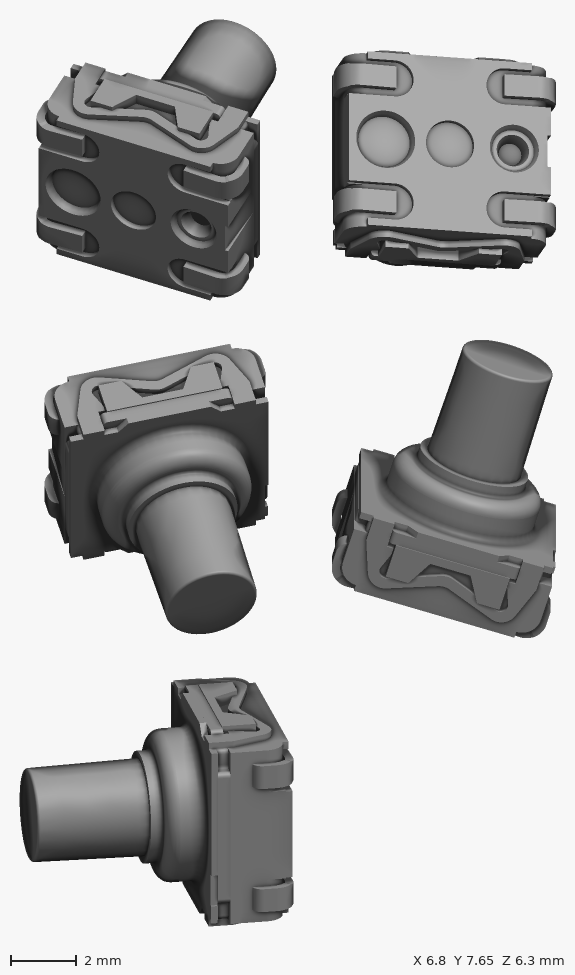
import cadquery as cq
import math


FLANGE_BOTTOM = 1.92
PLATE_BOTTOM = 2.3
PLATE_TOP = 2.51
DOME_TOP = 3.72
NECK_TOP = 4.1
PLUNGER_TIP = 7.56

HOUSING_HALF_X = 3.15
HOUSING_HALF_Z = 2.785
POCKET_DEPTH = 0.2
POCKET_INNER_Z = 1.4
POCKET_OUTER_Z = 2.555
POCKET_RADIUS = (POCKET_OUTER_Z - POCKET_INNER_Z) / 2
POCKET_ARC_CENTER_X = 1.71
CORNER_RADIUS = 0.6
CORNER_INNER_Z = 1.43
DRAFT_NOTCH_DEPTH = 0.11
DRAFT_NOTCH_HALF_Z = 0.505

FLANGE_HALF_X = 3.13
FLANGE_STEP_X = 2.785
FLANGE_STEP_Z = 2.13
FLANGE_RADIUS = 0.15
TONGUE_HALF_X = 2.03
TONGUE_HALF_Z = 3.105
TONGUE_RADIUS = 0.14

CATCH_HALF_X = 1.81
CATCH_HALF_Z = 3.15
CATCH_BOTTOM = 0.865
CATCH_NOTCH_TOP = 1.66
CATCH_NOTCH_TOP_HALF_X = 0.64
CATCH_NOTCH_BOTTOM_HALF_X = 1.095

SIDE_HOLE_X = 2.005
CENTER_HOLE_DIAMETER = 1.5
CENTER_HOLE_DEPTH = 0.2
WIDE_HOLE_MOUTH_RADIUS = 0.92
WIDE_HOLE_FLOOR_RADIUS = 0.8
WIDE_HOLE_DEPTH = 0.25
STEP_HOLE_MOUTH_RADIUS = 0.765
STEP_HOLE_SHELF_RADIUS = 0.65
STEP_HOLE_SHELF_DEPTH = 0.2
STEP_HOLE_BORE_RADIUS = 0.505
STEP_HOLE_FLOOR_RADIUS = 0.35
STEP_HOLE_BORE_DEPTH = 0.4

PLATE_HALF_X = 3.105
PLATE_TAB_RAMP_INNER_X = 1.29
KEY_RELIEF_DEPTH = 0.11
KEY_RELIEF_Z = -1.19
KEY_TAB_X = 3.08
KEY_TAB_TOP_Z = -2.195
KEY_TAB_BOTTOM_Z = -2.655
DOME_DIAMETER = 4.7
DOME_TOP_RADIUS = 0.41
DOME_FOOT_RADIUS = 0.21
NECK_DIAMETER = 3.44
NECK_FOOT_RADIUS = 0.09

CLIP_THICKNESS = 0.21
CLIP_ANGLE = 20
CLIP_ANGLE_TAN = math.tan(math.radians(CLIP_ANGLE))
CLIP_OUTER_X = 2.71
CLIP_INNER_X = 2.04
CLIP_SHOULDER_Y = 1.745
CLIP_TOOTH_X = 1.835
CLIP_TOOTH_BOTTOM = 1.57
CLIP_OUTER_APEX_Y = 1.05
CLIP_INNER_APEX_Y = 1.39
CLIP_BEND_RADIUS = 0.53
CLIP_WINDOW_RADIUS = 0.22

PLUNGER_BASE_DIAMETER = 3.05
PLUNGER_DRAFT = 1
PLUNGER_DRAFT_TAN = math.tan(math.radians(PLUNGER_DRAFT))
PLUNGER_TIP_FILLET = 0.085

TERMINAL_Z = 2.005
TERMINAL_THICKNESS = 0.25
ARM_WIDTH = 0.74
FOOT_WIDTH = 0.69
ROOT_WIDTH = 1.02
BEND_OUTER_RADIUS = 0.64
BEND_INNER_RADIUS = BEND_OUTER_RADIUS - TERMINAL_THICKNESS
STANDOFF = 0.09
BEND_CENTER_X = -HOUSING_HALF_X + BEND_INNER_RADIUS
BEND_CENTER_Y = BEND_OUTER_RADIUS - STANDOFF
TAPER_START_ANGLE = 231
TAPER_END_ANGLE = 241
WEDGE_MARGIN = 0.08
FOOT_TILT = 2.3
FOOT_TIP_X = -1.68
JOG_RADIUS = 0.32
JOG_CENTER_X = -HOUSING_HALF_X - TERMINAL_THICKNESS + JOG_RADIUS
JOG_CENTER_Y = 0.93
JOG_START_TURN = math.acos((-HOUSING_HALF_X - JOG_CENTER_X) / JOG_RADIUS)


def slab(points, bottom, top):
    """Prism of an XZ outline between two Y levels."""
    return cq.Workplane("XZ", origin=(0, top, 0)).polyline(points).close().extrude(top - bottom)


def box(x_range, y_range, z_range):
    """Axis-aligned box from its limits."""
    sizes = [high - low for low, high in (x_range, y_range, z_range)]
    corner = (x_range[0], y_range[0], z_range[0])
    return cq.Workplane("XY").box(*sizes, centered=False).translate(corner)


def four_corners(body):
    """Copies of a body from the -X, +Z corner, mirrored into all four corners."""
    pair = [body, body.mirror("YZ")]
    return pair + [one.mirror("XY") for one in pair]


def both_z_sides(body):
    """A body from the +Z side and its mirror image on the -Z side."""
    return [body, body.mirror("XY")]


def bend_point(radius, angle):
    """Point on the terminal bend at an angle in degrees."""
    turn = math.radians(angle)
    return (BEND_CENTER_X + radius * math.cos(turn), BEND_CENTER_Y + radius * math.sin(turn))


def strip(outline, width):
    """Extrude an XY outline along Z, centred on the terminal."""
    return outline.close().extrude(width / 2, both=True).translate((0, 0, TERMINAL_Z))


def jog_point(turn):
    """Point on the round jog where the arm leaves the side wall, at an angle in radians."""
    return (JOG_CENTER_X + JOG_RADIUS * math.cos(turn), JOG_CENTER_Y + JOG_RADIUS * math.sin(turn))


def bend_arc(outline, radius, start_angle, end_angle):
    """Continue an outline along the terminal bend."""
    middle = bend_point(radius, (start_angle + end_angle) / 2)
    return outline.threePointArc(middle, bend_point(radius, end_angle))


def terminal_arm():
    """Arm that bulges out of the side wall, runs down and turns into the bend."""
    jog_middle = (JOG_START_TURN + math.pi) / 2
    outline = (
        cq.Workplane("XY")
        .moveTo(*jog_point(JOG_START_TURN))
        .threePointArc(jog_point(jog_middle), jog_point(math.pi))
        .lineTo(*bend_point(BEND_OUTER_RADIUS, 180))
    )
    outline = bend_arc(outline, BEND_OUTER_RADIUS, 180, TAPER_START_ANGLE)
    outline = outline.lineTo(*bend_point(BEND_INNER_RADIUS, TAPER_START_ANGLE))
    outline = bend_arc(outline, BEND_INNER_RADIUS, TAPER_START_ANGLE, 180)
    return strip(outline, ARM_WIDTH)


def terminal_taper():
    """Short stretch of the bend that narrows from the arm width to the foot width."""
    outline = cq.Workplane("XY").moveTo(*bend_point(BEND_OUTER_RADIUS, TAPER_START_ANGLE))
    outline = bend_arc(outline, BEND_OUTER_RADIUS, TAPER_START_ANGLE, TAPER_END_ANGLE)
    outline = outline.lineTo(*bend_point(BEND_INNER_RADIUS, TAPER_END_ANGLE))
    outline = bend_arc(outline, BEND_INNER_RADIUS, TAPER_END_ANGLE, TAPER_START_ANGLE)
    bend = strip(outline, ARM_WIDTH)

    sections = []
    for angle, width in ((TAPER_START_ANGLE, ARM_WIDTH), (TAPER_END_ANGLE, FOOT_WIDTH)):
        inner = bend_point(BEND_INNER_RADIUS - WEDGE_MARGIN, angle)
        outer = bend_point(BEND_OUTER_RADIUS + WEDGE_MARGIN, angle)
        low_z = TERMINAL_Z - width / 2
        high_z = TERMINAL_Z + width / 2
        corners = [(*inner, low_z), (*outer, low_z), (*outer, high_z), (*inner, high_z)]
        sections.append(cq.Wire.makePolygon([cq.Vector(*corner) for corner in corners], close=True))
    return bend.intersect(cq.Workplane(cq.Solid.makeLoft(sections, True)))


def terminal_foot():
    """End of the bend and the slightly rising flat foot."""
    end_angle = 270 + FOOT_TILT
    rise = math.tan(math.radians(FOOT_TILT))
    outer_end = bend_point(BEND_OUTER_RADIUS, end_angle)
    inner_end = bend_point(BEND_INNER_RADIUS, end_angle)
    outline = cq.Workplane("XY").moveTo(*bend_point(BEND_OUTER_RADIUS, TAPER_END_ANGLE))
    outline = (
        bend_arc(outline, BEND_OUTER_RADIUS, TAPER_END_ANGLE, end_angle)
        .lineTo(FOOT_TIP_X, outer_end[1] + (FOOT_TIP_X - outer_end[0]) * rise)
        .lineTo(FOOT_TIP_X, inner_end[1] + (FOOT_TIP_X - inner_end[0]) * rise)
        .lineTo(*inner_end)
    )
    outline = bend_arc(outline, BEND_INNER_RADIUS, end_angle, TAPER_END_ANGLE)
    return strip(outline, FOOT_WIDTH)


def terminal_root():
    """Plate flush in the side wall, widening towards the flange."""
    arm_top = jog_point(JOG_START_TURN)[1]
    upper_half = [(JOG_CENTER_Y, ARM_WIDTH / 2), (arm_top, ARM_WIDTH / 2), (FLANGE_BOTTOM, ROOT_WIDTH / 2)]
    outline = upper_half + [(y, -z) for y, z in reversed(upper_half)]
    return (
        cq.Workplane("YZ", origin=(-HOUSING_HALF_X, 0, TERMINAL_Z))
        .polyline(outline)
        .close()
        .extrude(TERMINAL_THICKNESS)
    )


def make_terminal():
    """Terminal at the -X, +Z corner."""
    return terminal_root().union(terminal_arm()).union(terminal_taper()).union(terminal_foot())


def make_flange():
    quarter = [
        (FLANGE_HALF_X, FLANGE_STEP_Z),
        (FLANGE_STEP_X, FLANGE_STEP_Z),
        (FLANGE_STEP_X, HOUSING_HALF_Z),
    ]
    upper = quarter + [(-x, z) for x, z in reversed(quarter)]
    outline = upper + [(x, -z) for x, z in reversed(upper)]
    flange = slab(outline, FLANGE_BOTTOM, PLATE_BOTTOM).edges("|Y").fillet(FLANGE_RADIUS)
    tongues = box(
        (-TONGUE_HALF_X, TONGUE_HALF_X), (FLANGE_BOTTOM, PLATE_BOTTOM), (-TONGUE_HALF_Z, TONGUE_HALF_Z)
    )
    return flange.union(tongues.edges("|Y").fillet(TONGUE_RADIUS))


def make_catch():
    """Block on the +Z wall with a trapezoid notch in its lower edge; it overhangs the clip bar."""
    right_half = [
        (CATCH_NOTCH_TOP_HALF_X, CATCH_NOTCH_TOP),
        (CATCH_NOTCH_BOTTOM_HALF_X, CATCH_BOTTOM),
        (CATCH_HALF_X, CATCH_BOTTOM),
        (CATCH_HALF_X, FLANGE_BOTTOM),
    ]
    outline = right_half + [(-x, y) for x, y in reversed(right_half)]
    return (
        cq.Workplane("XY", origin=(0, 0, HOUSING_HALF_Z))
        .polyline(outline)
        .close()
        .extrude(CATCH_HALF_Z - HOUSING_HALF_Z)
    )


def foot_pocket():
    """Round-ended recess for the terminal foot at the -X, +Z corner."""
    center_z = (POCKET_INNER_Z + POCKET_OUTER_Z) / 2
    straight = box(
        (-HOUSING_HALF_X, -POCKET_ARC_CENTER_X), (0, POCKET_DEPTH), (POCKET_INNER_Z, POCKET_OUTER_Z)
    )
    arc_center = (-POCKET_ARC_CENTER_X, 0, center_z)
    round_end = cq.Workplane("XZ", origin=arc_center).circle(POCKET_RADIUS).extrude(-POCKET_DEPTH)
    return straight.union(round_end)


def corner_relief():
    """Material removed outside the rounded corner column at the -X, +Z corner."""
    inner_x = -HOUSING_HALF_X + CORNER_RADIUS
    center_y = POCKET_DEPTH + CORNER_RADIUS
    diagonal = CORNER_RADIUS * math.sqrt(0.5)
    return (
        cq.Workplane("XY", origin=(0, 0, CORNER_INNER_Z))
        .moveTo(-HOUSING_HALF_X, 0)
        .lineTo(inner_x, 0)
        .lineTo(inner_x, POCKET_DEPTH)
        .threePointArc((inner_x - diagonal, center_y - diagonal), (-HOUSING_HALF_X, center_y))
        .close()
        .extrude(HOUSING_HALF_Z - CORNER_INNER_Z)
    )


def face_hole(x, profile):
    """Blind hole in the mounting face, turned from (radius, depth) points."""
    return (
        cq.Workplane("XY")
        .polyline([(0, 0)] + profile + [(0, profile[-1][1])])
        .close()
        .revolve(360, (0, 0, 0), (0, 1, 0))
        .translate((x, 0, 0))
    )


def draft_notch():
    """Wedge cut into the +X wall, deepest at the mounting face."""
    return (
        cq.Workplane("XY")
        .polyline([
            (HOUSING_HALF_X, 0),
            (HOUSING_HALF_X - DRAFT_NOTCH_DEPTH, 0),
            (HOUSING_HALF_X, FLANGE_BOTTOM),
        ])
        .close()
        .extrude(DRAFT_NOTCH_HALF_Z, both=True)
    )


def make_housing(terminals, clip):
    housing = box(
        (-HOUSING_HALF_X, HOUSING_HALF_X), (0, FLANGE_BOTTOM), (-HOUSING_HALF_Z, HOUSING_HALF_Z)
    )
    for cutter in four_corners(foot_pocket()) + four_corners(corner_relief()):
        housing = housing.cut(cutter)
    housing = housing.union(make_flange())
    for catch in both_z_sides(make_catch().cut(clip)):
        housing = housing.union(catch)
    center_radius = CENTER_HOLE_DIAMETER / 2
    bore_floor = STEP_HOLE_SHELF_DEPTH + STEP_HOLE_BORE_DEPTH
    holes = [
        face_hole(0, [(center_radius, 0), (center_radius, CENTER_HOLE_DEPTH)]),
        face_hole(-SIDE_HOLE_X, [(WIDE_HOLE_MOUTH_RADIUS, 0), (WIDE_HOLE_FLOOR_RADIUS, WIDE_HOLE_DEPTH)]),
        face_hole(SIDE_HOLE_X, [
            (STEP_HOLE_MOUTH_RADIUS, 0),
            (STEP_HOLE_SHELF_RADIUS, STEP_HOLE_SHELF_DEPTH),
            (STEP_HOLE_BORE_RADIUS, STEP_HOLE_SHELF_DEPTH),
            (STEP_HOLE_FLOOR_RADIUS, bore_floor),
        ]),
    ]
    for cutter in holes + [draft_notch()] + terminals:
        housing = housing.cut(cutter)
    return housing


def make_plunger():
    base_radius = PLUNGER_BASE_DIAMETER / 2
    tip_radius = base_radius - (PLUNGER_TIP - PLATE_BOTTOM) * PLUNGER_DRAFT_TAN
    return (
        cq.Workplane("XY")
        .moveTo(0, PLATE_BOTTOM)
        .lineTo(base_radius, PLATE_BOTTOM)
        .lineTo(tip_radius, PLUNGER_TIP)
        .lineTo(0, PLUNGER_TIP)
        .close()
        .revolve(360, (0, 0, 0), (0, 1, 0))
        .faces(">Y")
        .edges()
        .fillet(PLUNGER_TIP_FILLET)
    )


def make_plate():
    """Flat plate with a ramped tab on each Z side and a keyed -X edge."""
    ramp_outer_x = PLATE_TAB_RAMP_INNER_X + TONGUE_HALF_Z - HOUSING_HALF_Z
    tab = [(ramp_outer_x, HOUSING_HALF_Z), (PLATE_TAB_RAMP_INNER_X, TONGUE_HALF_Z)]
    upper = [(PLATE_HALF_X, HOUSING_HALF_Z)] + tab + [(-x, z) for x, z in reversed(tab)]
    upper.append((-PLATE_HALF_X, HOUSING_HALF_Z))
    relief_x = -PLATE_HALF_X + KEY_RELIEF_DEPTH
    keyed_edge = [
        (-PLATE_HALF_X, KEY_RELIEF_Z),
        (relief_x, KEY_RELIEF_Z),
        (relief_x, KEY_TAB_TOP_Z),
        (-KEY_TAB_X, KEY_TAB_TOP_Z),
        (-KEY_TAB_X, KEY_TAB_BOTTOM_Z),
        (relief_x, KEY_TAB_BOTTOM_Z),
        (relief_x, -HOUSING_HALF_Z),
    ]
    lower = [(-x, -z) for x, z in tab]
    lower += [(-x, z) for x, z in reversed(lower)]
    outline = upper + keyed_edge + lower + [(PLATE_HALF_X, -HOUSING_HALF_Z)]
    return slab(outline, PLATE_BOTTOM, PLATE_TOP)


def round_post(radius, bottom, top):
    """Cylinder about the Y axis between two levels."""
    return cq.Workplane("XZ", origin=(0, top, 0)).circle(radius).extrude(top - bottom)


def foot_ring(wall_radius, fillet_radius, level):
    """Ring with a concave quarter-round profile at the foot of a round wall."""
    center_r = wall_radius + fillet_radius
    center_y = level + fillet_radius
    diagonal = fillet_radius * math.sqrt(0.5)
    return (
        cq.Workplane("XY")
        .moveTo(wall_radius, level)
        .lineTo(center_r, level)
        .threePointArc((center_r - diagonal, center_y - diagonal), (wall_radius, center_y))
        .close()
        .revolve(360, (0, 0, 0), (0, 1, 0))
    )


def make_dome():
    """Solid dome with a neck, blended into the plate by concave fillets."""
    dome_radius = DOME_DIAMETER / 2
    neck_radius = NECK_DIAMETER / 2
    dome = round_post(dome_radius, PLATE_TOP, DOME_TOP).faces(">Y").edges().fillet(DOME_TOP_RADIUS)
    neck = round_post(neck_radius, DOME_TOP, NECK_TOP)
    dome_foot = foot_ring(dome_radius, DOME_FOOT_RADIUS, PLATE_TOP)
    neck_foot = foot_ring(neck_radius, NECK_FOOT_RADIUS, DOME_TOP)
    return dome.union(neck).union(dome_foot).union(neck_foot)


def clip_prism(right_half):
    """Symmetric XY outline, mirrored about x = 0, as a sheet on the +Z wall."""
    left_half = [(-x, y) for x, y in reversed(right_half) if x > 0]
    return (
        cq.Workplane("XY", origin=(0, 0, HOUSING_HALF_Z))
        .polyline(right_half + left_half)
        .close()
        .extrude(CLIP_THICKNESS)
    )


def fillet_at(body, points, radius):
    """Round the Z edges that pass through the given XY points."""
    mid_z = HOUSING_HALF_Z + CLIP_THICKNESS / 2
    for x, y in points:
        body = body.edges(cq.selectors.NearestToPointSelector((x, y, mid_z))).fillet(radius)
    return body


def clip_corner_x(start_x, start_y, apex_y, lean):
    """X where a leg edge leaning in (-1) or out (+1) meets the V-shaped bar edge."""
    slope = CLIP_ANGLE_TAN
    return (start_x + lean * slope * (start_y - apex_y)) / (1 - lean * slope**2)


def make_clip():
    outer_x = clip_corner_x(CLIP_OUTER_X, CLIP_SHOULDER_Y, CLIP_OUTER_APEX_Y, -1)
    outer_y = CLIP_OUTER_APEX_Y - CLIP_ANGLE_TAN * outer_x
    sheet = clip_prism([
        (0, CLIP_OUTER_APEX_Y),
        (outer_x, outer_y),
        (CLIP_OUTER_X, CLIP_SHOULDER_Y),
        (CLIP_OUTER_X, PLATE_TOP),
    ])
    sheet = fillet_at(
        sheet, [(0, CLIP_OUTER_APEX_Y), (outer_x, outer_y), (-outer_x, outer_y)], CLIP_BEND_RADIUS
    )
    inner_x = clip_corner_x(CLIP_TOOTH_X, CLIP_TOOTH_BOTTOM, CLIP_INNER_APEX_Y, 1)
    inner_y = CLIP_INNER_APEX_Y - CLIP_ANGLE_TAN * inner_x
    window = clip_prism([
        (0, CLIP_INNER_APEX_Y),
        (inner_x, inner_y),
        (CLIP_TOOTH_X, CLIP_TOOTH_BOTTOM),
        (CLIP_TOOTH_X, CLIP_SHOULDER_Y),
        (CLIP_INNER_X, CLIP_SHOULDER_Y),
        (CLIP_INNER_X, PLATE_TOP),
    ])
    window = fillet_at(window, [(0, CLIP_INNER_APEX_Y)], CLIP_BEND_RADIUS)
    window = fillet_at(window, [(inner_x, inner_y), (-inner_x, inner_y)], CLIP_WINDOW_RADIUS)
    return sheet.cut(window)


def make_cover(plunger, clip):
    cover = make_plate().union(make_dome())
    for one_clip in both_z_sides(clip):
        cover = cover.union(one_clip)
    return cover.cut(plunger)


clip = make_clip()
terminals = four_corners(make_terminal())
plunger = make_plunger()
housing = make_housing(terminals, clip)
cover = make_cover(plunger, clip)

result = cq.Compound.makeCompound(
    [housing.val(), cover.val(), plunger.val()] + [terminal.val() for terminal in terminals]
)